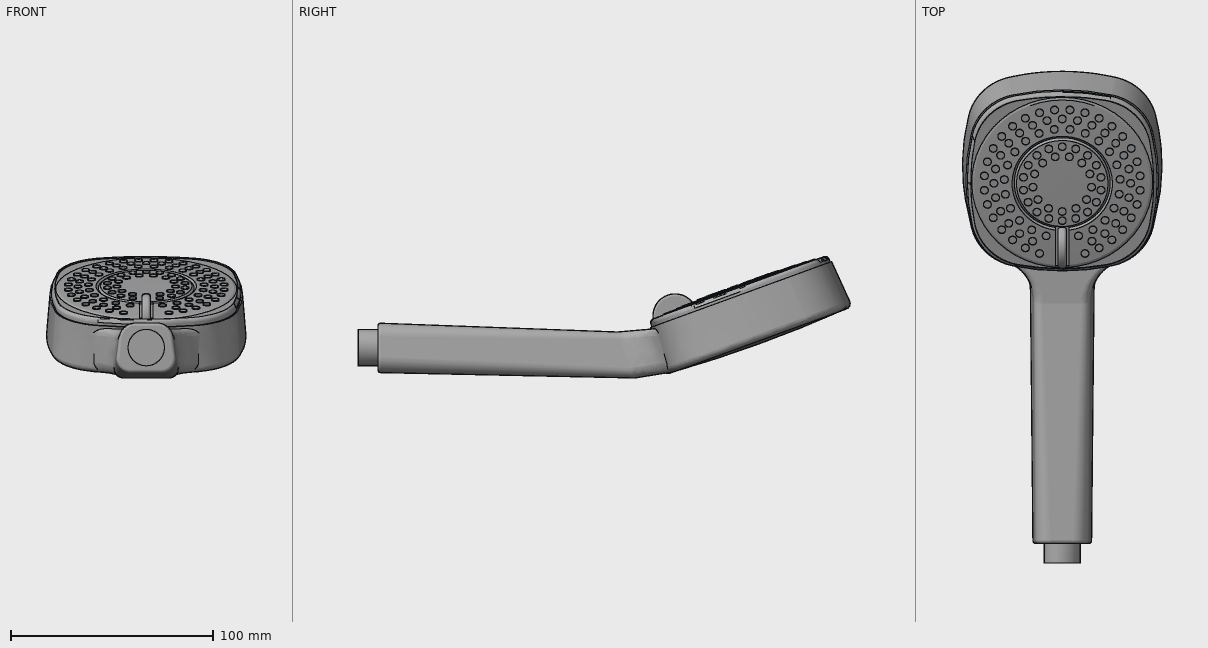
import cadquery as cq
import math


STUB_RADIUS = 9.0
STUB_LENGTH = 9.7
HANDLE_END_WIDTH = 31.0
HANDLE_END_TOP = 12.2
HANDLE_END_BOTTOM = -12.5
HANDLE_END_ROUND = 1.5
KNEE_WIDTH = 32.9
KNEE_TOP = (128.3, 7.8)
KNEE_BOTTOM = (136.8, -15.0)
SIDE_ANGLE = 83.0
END_TOP_CORNER = 7.8
END_BOTTOM_CORNER = 6.8
KNEE_TOP_CORNER = 4.5
KNEE_BOTTOM_CORNER = 4.6

HEAD_TILT = 20.0
FACE_CENTER = (0, 188.1, 29.7)
HEAD_DEPTH = 28.2
RIM_DEPTH = 3.7
RIM_HALF_SIZE = 47.0
RIM_ROUND = 2.2
BODY_TOP_HALF_SIZE = 47.7
BODY_BOTTOM_HALF_SIZE = 49.7
BODY_BOTTOM_ROUND = 3.0
BACK_DOME_RADIUS = 43.8
BACK_DOME_HEIGHT = 1.5
CORNER_RADIUS = 26.8
DIAGONAL_RATIO = 1.12

ROOT_OFFSET = 44.3
ROOT_TOP_DEPTH = 5.4
FLARE_ANGLE = 70.0
FLARE_SECTIONS = 4

RECESS_HALF_SIZE = 45.3
RECESS_DEPTH = 0.7
SKIRT_RADIUS = 44.8
SKIRT_RISE = 0.5
DOME_RADIUS = 43.5
DOME_HEIGHT = 1.5
BUTTON_RADIUS = 22.6
GROOVE_WIDTH = 2.2
GROOVE_DEPTH = 1.0
NOZZLE_RADIUS = 2.0
NOZZLE_HEIGHT = 0.37
NOZZLE_ROOT = 2.5

NOZZLE_RINGS = [
    (38.7, 30, 1.5 * 360 / 32, 360 / 32),
    (33.8, 25, 2 * 360 / 28, 360 / 28),
    (28.7, 22, 16.3, 15.6),
    (19.5, 18, 0, 360 / 18),
    (14.5, 13, 0, 360 / 13),
]

FIN_RADIUS = 11.0
FIN_OFFSET = 34.3
FIN_CENTER_DEPTH = 2.5
FIN_WIDTH = 4.5
FIN_ROUND = 1.5
FIN_SLOT_WIDTH = 6.8
FIN_SLOT_DEPTH = 0.7

TILT = math.radians(HEAD_TILT)
HEAD_PLANE = cq.Plane(
    origin=FACE_CENTER, xDir=(1, 0, 0), normal=(0, -math.sin(TILT), math.cos(TILT))
)


def cap_radius(base_radius, height):
    """Radius of the sphere whose cap has the given base radius and height."""
    return (base_radius**2 + height**2) / (2 * height)


def head_level(height):
    """Workplane parallel to the spray face, at a height above it."""
    return cq.Workplane(HEAD_PLANE).workplane(offset=height)


def rounded_square(plane, half_size):
    """Closed outline of four bowed sides joined smoothly by four corner arcs."""
    corner = (half_size * DIAGONAL_RATIO - CORNER_RADIUS) / math.sqrt(2)
    shift = corner - half_size
    side_radius = (CORNER_RADIUS**2 - shift**2 - corner**2) / (2 * (shift + CORNER_RADIUS))
    side_center = half_size - side_radius
    half_angle = math.atan2(corner, corner - side_center)
    joint = (
        side_center + side_radius * math.cos(half_angle),
        side_radius * math.sin(half_angle),
    )
    tip = corner + CORNER_RADIUS / math.sqrt(2)

    def turned(point, quarter):
        x, y = point
        for _ in range(quarter):
            x, y = -y, x
        return x, y

    outline = plane.moveTo(joint[0], -joint[1])
    for quarter in range(4):
        outline = outline.threePointArc(turned((half_size, 0), quarter), turned(joint, quarter))
        outline = outline.threePointArc(
            turned((tip, tip), quarter), turned((joint[1], joint[0]), quarter)
        )
    return outline.close()


def grip_section(top, bottom, width, top_corner, bottom_corner):
    """Rounded section standing across the handle between two (Y, Z) points."""
    rise = (top[0] - bottom[0], top[1] - bottom[1])
    height = math.hypot(*rise)
    plane = cq.Plane(
        origin=(0, (top[0] + bottom[0]) / 2, (top[1] + bottom[1]) / 2),
        xDir=(1, 0, 0),
        normal=(0, -rise[1], rise[0]),
    )
    return (
        cq.Sketch()
        .trapezoid(width, height, SIDE_ANGLE)
        .vertices(">Y")
        .fillet(top_corner)
        .reset()
        .vertices("<Y")
        .fillet(bottom_corner)
        .reset()
        .moved(plane.location)
    )


def head_point(offset, depth):
    """(Y, Z) of a point on the mid plane of the head."""
    point = HEAD_PLANE.toWorldCoords((0, -offset, -depth))
    return point.y, point.z


def make_handle():
    end = grip_section(
        (STUB_LENGTH, HANDLE_END_TOP),
        (STUB_LENGTH, HANDLE_END_BOTTOM),
        HANDLE_END_WIDTH,
        END_TOP_CORNER,
        END_BOTTOM_CORNER,
    )
    knee = grip_section(KNEE_TOP, KNEE_BOTTOM, KNEE_WIDTH, KNEE_TOP_CORNER, KNEE_BOTTOM_CORNER)
    grip = cq.Workplane().placeSketch(end, knee).loft()
    grip = grip.faces("<Y").edges().fillet(HANDLE_END_ROUND)
    stub = cq.Workplane("XZ").circle(STUB_RADIUS).extrude(-2 * STUB_LENGTH)
    return grip.union(stub)


def between(start, end, share):
    return tuple(a + (b - a) * share for a, b in zip(start, end))


def make_neck():
    """Neck whose sides flare in a concave arc from the handle width to the head."""
    root_top = head_point(ROOT_OFFSET, ROOT_TOP_DEPTH)
    root_bottom = head_point(ROOT_OFFSET, HEAD_DEPTH)
    swing = math.radians(FLARE_ANGLE)
    flare_radius = math.dist(KNEE_TOP, root_top) / math.sin(swing)
    sections = []
    for index in range(FLARE_SECTIONS + 1):
        angle = swing * index / FLARE_SECTIONS
        share = math.sin(angle) / math.sin(swing)
        widening = flare_radius * (1 - math.cos(angle))
        sections.append(
            grip_section(
                between(KNEE_TOP, root_top, share),
                between(KNEE_BOTTOM, root_bottom, share),
                KNEE_WIDTH + 2 * widening,
                KNEE_TOP_CORNER,
                KNEE_BOTTOM_CORNER,
            )
        )
    return cq.Workplane().placeSketch(*sections).loft()


def revolve_profile():
    """Half plane through the axis of the head: distance from the axis, height above the rim."""
    return cq.Workplane(cq.Plane(origin=FACE_CENTER, xDir=(1, 0, 0), normal=-HEAD_PLANE.yDir))


def make_back_dome():
    sphere_radius = cap_radius(BACK_DOME_RADIUS, BACK_DOME_HEIGHT)
    middle = BACK_DOME_RADIUS / 2
    middle_drop = sphere_radius - math.sqrt(sphere_radius**2 - middle**2)
    lowest = -HEAD_DEPTH - BACK_DOME_HEIGHT
    return (
        revolve_profile()
        .moveTo(0, -HEAD_DEPTH / 2)
        .lineTo(BACK_DOME_RADIUS, -HEAD_DEPTH / 2)
        .lineTo(BACK_DOME_RADIUS, -HEAD_DEPTH)
        .threePointArc((middle, lowest + middle_drop), (0, lowest))
        .close()
        .revolve(360, (0, 0), (0, 1))
    )


def make_head():
    top = rounded_square(head_level(-RIM_DEPTH), BODY_TOP_HALF_SIZE).val()
    bottom = rounded_square(head_level(-HEAD_DEPTH), BODY_BOTTOM_HALF_SIZE).val()
    body = cq.Workplane(cq.Solid.makeLoft([bottom, top], True))
    below = cq.selectors.DirectionMinMaxSelector(HEAD_PLANE.zDir, False)
    body = body.faces(below).edges().fillet(BODY_BOTTOM_ROUND)
    rim = rounded_square(head_level(-2 * RIM_DEPTH), RIM_HALF_SIZE).extrude(2 * RIM_DEPTH)
    above = cq.selectors.DirectionMinMaxSelector(HEAD_PLANE.zDir, True)
    rim = rim.faces(above).edges().fillet(RIM_ROUND)
    return body.union(rim).union(make_back_dome())


def dome_level(radius):
    """Height of the domed spray face at a distance from its centre."""
    sphere_radius = cap_radius(DOME_RADIUS, DOME_HEIGHT)
    drop = sphere_radius - math.sqrt(sphere_radius**2 - radius**2)
    return DOME_HEIGHT + SKIRT_RISE - RECESS_DEPTH - drop


def make_dome():
    middle = DOME_RADIUS / 2
    return (
        revolve_profile()
        .moveTo(0, -RIM_DEPTH)
        .lineTo(SKIRT_RADIUS, -RIM_DEPTH)
        .lineTo(SKIRT_RADIUS, -RECESS_DEPTH)
        .lineTo(DOME_RADIUS, dome_level(DOME_RADIUS))
        .threePointArc((middle, dome_level(middle)), (0, dome_level(0)))
        .close()
        .revolve(360, (0, 0), (0, 1))
    )


def make_groove():
    """V-shaped ring groove round the button."""
    outer_radius = BUTTON_RADIUS + GROOVE_WIDTH
    middle = BUTTON_RADIUS + GROOVE_WIDTH / 2
    return (
        revolve_profile()
        .moveTo(BUTTON_RADIUS, dome_level(BUTTON_RADIUS))
        .lineTo(middle, dome_level(middle) - GROOVE_DEPTH)
        .lineTo(outer_radius, dome_level(outer_radius))
        .lineTo(outer_radius, DOME_HEIGHT)
        .lineTo(BUTTON_RADIUS, DOME_HEIGHT)
        .close()
        .revolve(360, (0, 0), (0, 1))
    )


def nozzle_ring(radius, count, first_angle, step):
    points = []
    for index in range(count):
        angle = math.radians(first_angle + index * step)
        points.append((radius * math.sin(angle), -radius * math.cos(angle)))
    tip = dome_level(radius) + NOZZLE_HEIGHT
    return head_level(-NOZZLE_ROOT).pushPoints(points).circle(NOZZLE_RADIUS).extrude(NOZZLE_ROOT + tip)


def make_fin():
    side_plane = cq.Plane(
        origin=HEAD_PLANE.toWorldCoords((0, -FIN_OFFSET, -FIN_CENTER_DEPTH)),
        xDir=HEAD_PLANE.yDir,
        normal=(1, 0, 0),
    )
    fin = cq.Workplane(side_plane).circle(FIN_RADIUS).extrude(FIN_WIDTH / 2, both=True)
    return fin.edges().fillet(FIN_ROUND)


def make_fin_slot():
    """Shallow slot that frames the fin from the button to the edge of the dome."""
    length = DOME_RADIUS - BUTTON_RADIUS
    floor = dome_level(FIN_OFFSET) - FIN_SLOT_DEPTH
    return (
        head_level(floor)
        .center(0, -BUTTON_RADIUS - length / 2)
        .rect(FIN_SLOT_WIDTH, length)
        .extrude(FIN_SLOT_DEPTH + DOME_HEIGHT)
    )


recess = rounded_square(head_level(-RECESS_DEPTH), RECESS_HALF_SIZE).extrude(RECESS_DEPTH)
result = make_handle().union(make_neck()).union(make_head())
result = result.cut(recess).union(make_dome()).cut(make_groove()).cut(make_fin_slot())
for ring in NOZZLE_RINGS:
    result = result.union(nozzle_ring(*ring))
result = result.union(make_fin())